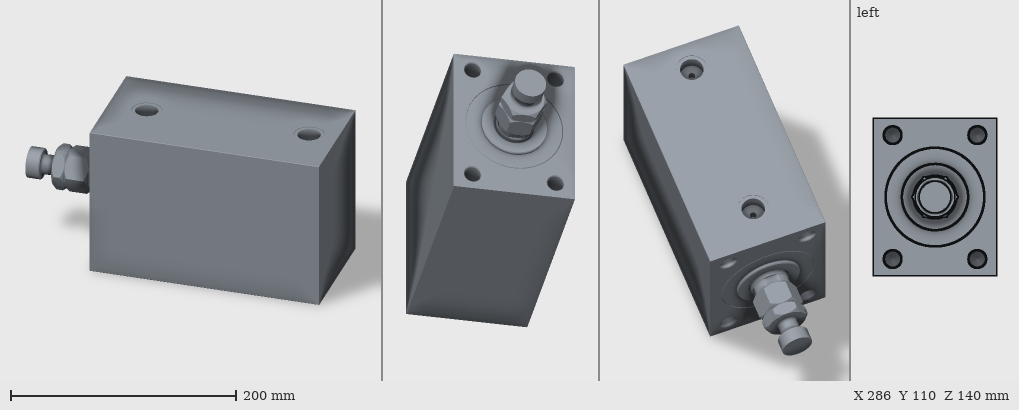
import cadquery as cq
import math


TOTAL_LENGTH = 286.0
HOUSING_START = 72.6
HOUSING_LENGTH = TOTAL_LENGTH - HOUSING_START
HOUSING_WIDTH = 110.0
HOUSING_HEIGHT = 140.0
HOUSING_EDGE_CHAMFER = 0.43

MOUNT_SPACING_Y = 75.2
MOUNT_SPACING_Z = 110.0
MOUNT_DIAMETER = 15.0
MOUNT_CHAMFER = 1.0
MOUNT_DEPTH = 34.3
DRILL_POINT_ANGLE = 118.0

PORT_POSITIONS_X = (108.7, 259.7)
SPOTFACE_DIAMETER = 27.7
SPOTFACE_DEPTH = 0.5
PORT_DIAMETER = 21.0
PORT_DEPTH = 12.5
OIL_DUCT_DIAMETER = 6.0
OIL_DUCT_DEPTH = 8.5

GLAND_DIAMETER = 88.7
GLAND_DEPTH = 28.5
GLAND_CHAMFER = 1.0
LIP_DIAMETER = 59.8
LIP_HEIGHT = 3.0
LIP_CHAMFER = 1.0
GLAND_MOUTH_CHAMFER = 1.7

ROD_DIAMETER = 35.5
FLATS_START = 59.0
FLATS_END = 66.4
COLLAR_CHAMFER = 0.5
SPANNER_END_DIAMETER = 35.0
FLATS_ACROSS = 31.7

HEAD_DIAMETER = 28.3
HEAD_LENGTH = 12.5
HEAD_CHAMFER = 1.0
NECK_DIAMETER = 18.0
NECK_FILLET = 1.5
HEX_START = 25.2
HEX_SPLIT = 37.0
HEX_ACROSS = 36.0
HEX_END_DIAMETER = 35.5


def cylinder(diameter, start, end):
    """Cylinder on the X axis between two X positions."""
    return cq.Workplane("YZ", origin=(start, 0, 0)).circle(diameter / 2).extrude(end - start)


def drill_point(diameter):
    """Height of the cone that a drill leaves at the bottom of a blind hole."""
    return diameter / 2 / math.tan(math.radians(DRILL_POINT_ANGLE / 2))


def mounting_hole():
    """Blind hole along X with a chamfered mouth at X = 0, on the X axis."""
    radius = MOUNT_DIAMETER / 2
    profile = [
        (0, 0),
        (0, radius + MOUNT_CHAMFER),
        (MOUNT_CHAMFER, radius),
        (MOUNT_DEPTH, radius),
        (MOUNT_DEPTH + drill_point(MOUNT_DIAMETER), 0),
    ]
    return cq.Workplane("XY").polyline(profile).close().revolve(360, (0, 0, 0), (1, 0, 0))


def oil_port(x):
    """Spotfaced port in the top face with a narrow oil duct in its floor."""
    top = HOUSING_HEIGHT / 2
    floor = top - PORT_DEPTH
    top_plane = cq.Workplane("XY", origin=(x, 0, top))
    floor_plane = cq.Workplane("XY", origin=(x, 0, floor))
    spotface = top_plane.circle(SPOTFACE_DIAMETER / 2).extrude(-SPOTFACE_DEPTH)
    bore = top_plane.circle(PORT_DIAMETER / 2).extrude(-PORT_DEPTH)
    duct = floor_plane.circle(OIL_DUCT_DIAMETER / 2).extrude(-OIL_DUCT_DEPTH)
    return spotface.union(bore).union(duct)


def make_housing():
    """Rectangular block with the gland recess, mounting holes and oil ports."""
    body = (
        cq.Workplane("XY", origin=(HOUSING_START, 0, 0))
        .box(HOUSING_LENGTH, HOUSING_WIDTH, HOUSING_HEIGHT, centered=(False, True, True))
        .edges("|X")
        .chamfer(HOUSING_EDGE_CHAMFER)
    )
    body = body.cut(cylinder(GLAND_DIAMETER, HOUSING_START, HOUSING_START + GLAND_DEPTH))
    for side_y in (-1, 1):
        for side_z in (-1, 1):
            place = (HOUSING_START, side_y * MOUNT_SPACING_Y / 2, side_z * MOUNT_SPACING_Z / 2)
            body = body.cut(mounting_hole().translate(place))
    for x in PORT_POSITIONS_X:
        body = body.cut(oil_port(x))
    return body


def make_gland():
    """Disc filling the housing recess, with a raised lip and a countersunk rod bore."""
    lip_start = HOUSING_START - LIP_HEIGHT
    gland_end = HOUSING_START + GLAND_DEPTH
    disc = cylinder(GLAND_DIAMETER, HOUSING_START, gland_end).faces("<X").edges().chamfer(GLAND_CHAMFER)
    lip = cylinder(LIP_DIAMETER, lip_start, gland_end).faces("<X").edges().chamfer(LIP_CHAMFER)
    body = disc.union(lip).cut(cylinder(ROD_DIAMETER, lip_start, gland_end))
    mouth = body.faces("<X").edges(cq.selectors.RadiusNthSelector(0))
    return mouth.chamfer(GLAND_MOUTH_CHAMFER)


def make_rod():
    """Round rod with four spanner flats at its outer end."""
    flats_length = FLATS_END - FLATS_START
    flats_plane = cq.Workplane("YZ", origin=(FLATS_START, 0, 0))
    square = flats_plane.rect(FLATS_ACROSS, FLATS_ACROSS).extrude(flats_length)
    spanner_end = cylinder(SPANNER_END_DIAMETER, FLATS_START, FLATS_END).intersect(square)
    shaft = cylinder(ROD_DIAMETER, FLATS_END, HOUSING_START + GLAND_DEPTH)
    shaft = shaft.faces("<X").edges().chamfer(COLLAR_CHAMFER)
    return shaft.union(spanner_end)


def chamfered_hex(start, end):
    """Hexagon along X, two corners on the Y axis, with both ends turned to a 45 degree cone."""
    corner_diameter = HEX_ACROSS / math.cos(math.radians(30))
    corner_chamfer = (corner_diameter - HEX_END_DIAMETER) / 2
    prism = cq.Workplane("YZ", origin=(start, 0, 0)).polygon(6, corner_diameter).extrude(end - start)
    envelope = cylinder(corner_diameter, start, end).faces("<X or >X").edges().chamfer(corner_chamfer)
    return prism.intersect(envelope)


def make_coupling():
    """Headed stud with a filleted neck and two hexagons separated by a V groove."""
    head = cylinder(HEAD_DIAMETER, 0, HEAD_LENGTH).faces(">X").edges().chamfer(HEAD_CHAMFER)
    neck = cylinder(NECK_DIAMETER, HEAD_LENGTH, HEX_START)
    front_hex = chamfered_hex(HEX_START, HEX_SPLIT)
    rear_hex = chamfered_hex(HEX_SPLIT, FLATS_START)
    body = head.union(neck).union(front_hex)
    neck_ends = body.edges("%CIRCLE").edges(cq.selectors.RadiusNthSelector(0))
    return neck_ends.fillet(NECK_FILLET).union(rear_hex)


housing = make_housing()
gland = make_gland()
rod = make_rod()
coupling = make_coupling()

result = cq.Compound.makeCompound([housing.val(), gland.val(), rod.val(), coupling.val()])